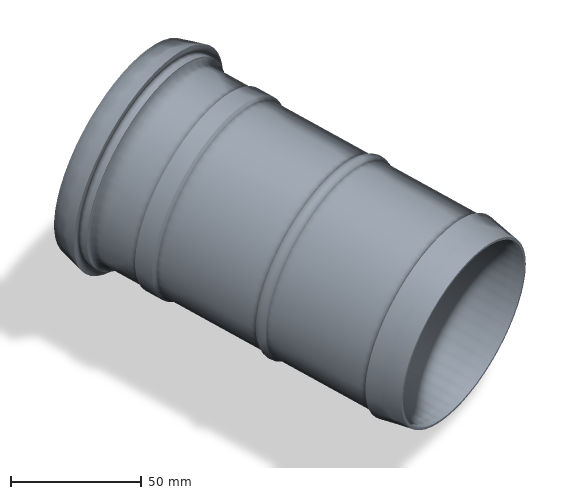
import cadquery as cq
import math

length = 160.0
joint_x = 36.6

head_bore_radius = 40.8
flange_front_radius = 46.9
flange_radius = 50.0
flange_front_x = 0.8
flange_back_x = 12.2
collar_radius = 93.0 / 2
collar_end_x = 15.8
neck_radius = 87.0 / 2
neck_fillet = 2.5

tail_bore_radius = 81.0 / 2
tube_radius = 86.0 / 2
rib_radius = 89.0 / 2
band_bevel = 0.5
band_end_x = 45.1
band_slope_end_x = 46.5
bead_center_x = 95.2
bead_width = 5.3
barb_start_x = 144.2
barb_crest_x = barb_start_x + 1.0
barb_end_radius = 41.6


def revolve_about_x(profile):
    """Revolve a closed profile of (x, radius) points about the X axis."""
    return profile.close().revolve(360, (0, 0, 0), (1, 0, 0))


def make_coupling_head():
    """Flanged ring with a slightly conical front face and a filleted neck."""
    fillet_top = neck_radius + neck_fillet
    fillet_end_x = collar_end_x + neck_fillet
    fillet_sag = neck_fillet * (1 - math.sqrt(0.5))
    profile = (
        cq.Workplane("XY")
        .moveTo(0, head_bore_radius)
        .lineTo(flange_front_x, flange_front_radius)
        .lineTo(flange_back_x, flange_radius)
        .lineTo(flange_back_x, collar_radius)
        .lineTo(collar_end_x, collar_radius)
        .lineTo(collar_end_x, fillet_top)
        .threePointArc(
            (collar_end_x + fillet_sag, neck_radius + fillet_sag),
            (fillet_end_x, neck_radius),
        )
        .lineTo(joint_x, neck_radius)
        .lineTo(joint_x, head_bore_radius)
    )
    return revolve_about_x(profile)


def make_hose_tail():
    """Tube with a bevelled band at the joint, a middle bead and a tapered barb."""
    bead_start_x = bead_center_x - bead_width / 2
    bead_end_x = bead_center_x + bead_width / 2
    profile = (
        cq.Workplane("XY")
        .moveTo(joint_x, tail_bore_radius)
        .lineTo(joint_x, rib_radius - band_bevel)
        .lineTo(joint_x + band_bevel, rib_radius)
        .lineTo(band_end_x, rib_radius)
        .lineTo(band_slope_end_x, tube_radius)
        .lineTo(bead_start_x, tube_radius)
        .threePointArc((bead_center_x, rib_radius), (bead_end_x, tube_radius))
        .lineTo(barb_start_x, tube_radius)
        .lineTo(barb_crest_x, rib_radius)
        .lineTo(length, barb_end_radius)
        .lineTo(length, tail_bore_radius)
    )
    return revolve_about_x(profile)


coupling_head = make_coupling_head()
hose_tail = make_hose_tail()

result = cq.Compound.makeCompound([coupling_head.val(), hose_tail.val()])